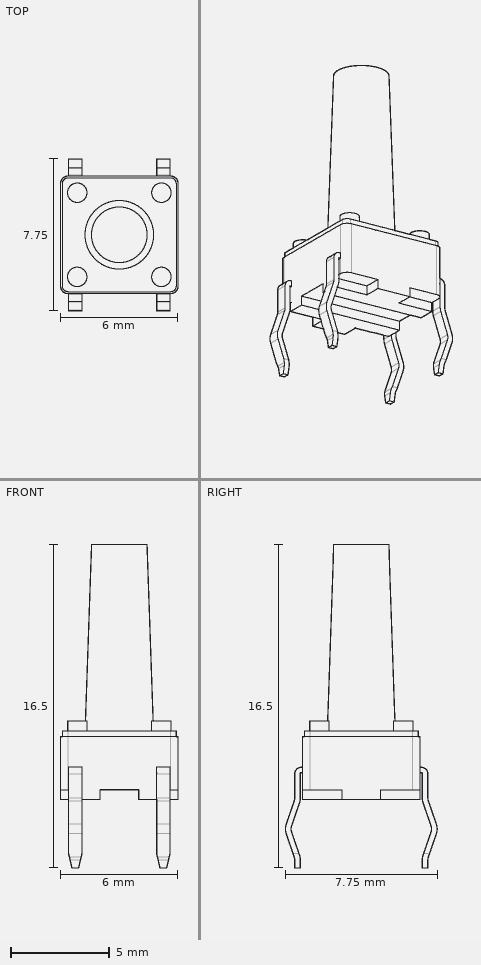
import cadquery as cq
import math

overall_height = 16.5

body_side = 6.0
body_top = 3.2
body_corner_radius = 0.4
cover_side = 5.8
cover_top = 3.5
cover_corner_radius = body_corner_radius - (body_side - cover_side) / 2

foot_height = 0.5
channel_width = 1.96
tab_width = channel_width
body_half = body_side / 2
foot_width = 1.0
foot_inner_x = channel_width / 2
foot_outer_x = foot_inner_x + foot_width

bump_radius = 0.5
bump_offset = 2.15
bump_top = 4.01

button_base_radius = 1.75
button_tip_radius = 1.42
button_top = 13.0

leg_width = 0.7
leg_thickness = 0.3
leg_offset_x = 2.25
leg_outer_y = 3.4
leg_embed = 0.16
leg_top = 1.65
shoulder_radius = 0.35
upper_bend_z = 0.0
knee_z = -1.5
lower_bend_z = 2 * knee_z - upper_bend_z
leg_bottom = button_top - overall_height
leg_slant = math.radians(19)
bend_inner_radius = 0.45
bend_outer_radius = bend_inner_radius + leg_thickness
point_start_z = -2.75
point_width = leg_width / 2


def rounded_block(side, radius, bottom, top):
    """Square block centred on Z with rounded vertical corners."""
    block = cq.Workplane("XY").workplane(offset=bottom).rect(side, side).extrude(top - bottom)
    return block.edges("|Z").fillet(radius)


def foot(side):
    """Strip along Y beside the central channel, with a tab reaching the side wall."""
    strip = (
        cq.Workplane("XY")
        .center(side * (foot_inner_x + foot_outer_x) / 2, 0)
        .rect(foot_width, body_side)
        .extrude(foot_height)
    )
    tab = (
        cq.Workplane("XY")
        .center(side * (foot_inner_x + body_half) / 2, 0)
        .rect(body_half - foot_inner_x, tab_width)
        .extrude(foot_height)
    )
    return strip.union(tab)


def leg_strip():
    """Bent strip of constant thickness on the +Y side, centred on X."""
    inner_y = leg_outer_y - leg_thickness
    knee_outer_y = leg_outer_y + (upper_bend_z - knee_z) * math.tan(leg_slant)
    knee_inner_y = knee_outer_y - leg_thickness / math.cos(leg_slant)
    mitre_shift = leg_thickness * math.tan(leg_slant / 2)
    root_y = body_half - leg_embed

    shoulder = (leg_outer_y, leg_top)
    outer_upper = (leg_outer_y, upper_bend_z)
    outer_knee = (knee_outer_y, knee_z)
    outer_lower = (leg_outer_y, lower_bend_z)
    inner_lower = (inner_y, lower_bend_z + mitre_shift)
    inner_knee = (knee_inner_y, knee_z)
    inner_upper = (inner_y, upper_bend_z - mitre_shift)
    outline = [
        (root_y, leg_top),
        shoulder,
        outer_upper,
        outer_knee,
        outer_lower,
        (leg_outer_y, leg_bottom),
        (inner_y, leg_bottom),
        inner_lower,
        inner_knee,
        inner_upper,
        (inner_y, leg_top - leg_thickness),
        (root_y, leg_top - leg_thickness),
    ]
    strip = cq.Workplane("YZ").polyline(outline).close().extrude(leg_width / 2, both=True)

    corner_radii = [
        (shoulder, shoulder_radius),
        (outer_upper, bend_inner_radius),
        (inner_upper, bend_outer_radius),
        (outer_knee, bend_outer_radius),
        (inner_knee, bend_inner_radius),
        (outer_lower, bend_inner_radius),
        (inner_lower, bend_outer_radius),
    ]
    for (y, z), radius in corner_radii:
        corner = cq.selectors.NearestToPointSelector((0, y, z))
        strip = strip.edges("|X").edges(corner).fillet(radius)
    return strip


def pointed_leg():
    """Leg strip trimmed to a width that narrows towards the bottom."""
    width_outline = [
        (-leg_width / 2, leg_top),
        (leg_width / 2, leg_top),
        (leg_width / 2, point_start_z),
        (point_width / 2, leg_bottom),
        (-point_width / 2, leg_bottom),
        (-leg_width / 2, point_start_z),
    ]
    envelope = cq.Workplane("XZ").polyline(width_outline).close().extrude(-body_side)
    return leg_strip().intersect(envelope)


housing = rounded_block(body_side, body_corner_radius, foot_height, body_top)
cover = rounded_block(cover_side, cover_corner_radius, body_top, cover_top)
button = (
    cq.Workplane("XY")
    .workplane(offset=cover_top)
    .circle(button_base_radius)
    .workplane(offset=button_top - cover_top)
    .circle(button_tip_radius)
    .loft(ruled=True)
)
bumps = (
    cq.Workplane("XY")
    .workplane(offset=cover_top)
    .rect(2 * bump_offset, 2 * bump_offset, forConstruction=True)
    .vertices()
    .circle(bump_radius)
    .extrude(bump_top - cover_top)
)

result = housing.union(cover).union(button).union(bumps)
for side in (-1, 1):
    back_leg = pointed_leg().translate((side * leg_offset_x, 0, 0))
    front_leg = back_leg.mirror("XZ")
    result = result.union(foot(side)).union(back_leg).union(front_leg)